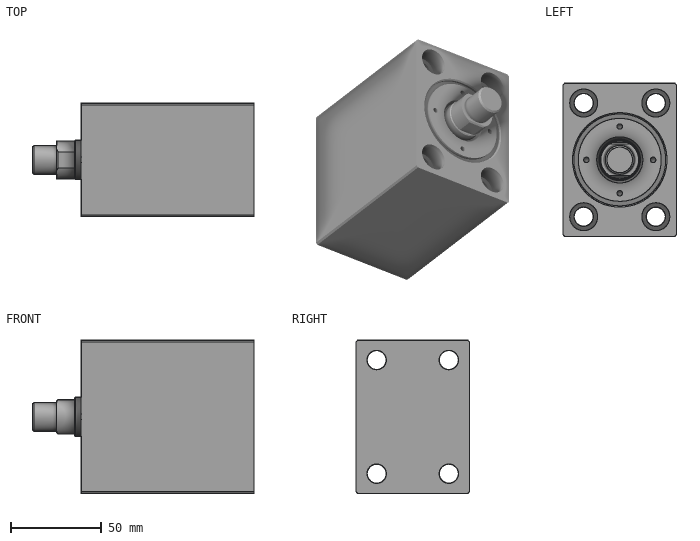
import cadquery as cq
import math

HOUSING_LENGTH = 96.0
HOUSING_WIDTH = 63.0
HOUSING_HEIGHT = 85.0
EDGE_CHAMFER = 1.0

BOLT_SPACING_Y = 40.0
BOLT_SPACING_Z = 63.0
BOLT_DIAMETER = 10.5
COUNTERBORE_DIAMETER = 15.5
COUNTERBORE_DEPTH = 10.5

GLAND_DIAMETER = 51.0
SEAT_CHAMFER = 0.7
GLAND_LENGTH = 15.0
GLAND_BOSS_DIAMETER = 46.0
GLAND_STEP_DEPTH = 1.9

SPANNER_HOLE_COUNT = 4
SPANNER_CIRCLE_RADIUS = 18.5
SPANNER_HOLE_DIAMETER = 3.0
SPANNER_HOLE_DEPTH = 5.0
DRILL_POINT_ANGLE = 118.0

MOUTH_DIAMETER = 25.6
WIPER_DIAMETER = 23.0
MOUTH_DEPTH = 2.0
WIPER_LENGTH = 4.0

ROD_DIAMETER = 22.0
ROD_REACH = 3.5
ROD_CHAMFER = 0.5
COLLAR_DIAMETER = ROD_DIAMETER - 2 * ROD_CHAMFER
COLLAR_LENGTH = 10.0
FLAT_WIDTH = 19.0
FLAT_CHAMFER = 0.8
TIP_DIAMETER = 16.0
TIP_LENGTH = 13.5
TIP_CHAMFER = 0.9

COLLAR_START = -ROD_REACH - COLLAR_LENGTH
TIP_START = COLLAR_START - TIP_LENGTH


def cylinder(diameter, start, length):
    """Cylinder on the X axis from x = start, running toward +X."""
    return cq.Workplane("YZ", origin=(start, 0, 0)).circle(diameter / 2).extrude(length)


def make_housing():
    block = cq.Workplane("XY").box(
        HOUSING_LENGTH, HOUSING_WIDTH, HOUSING_HEIGHT, centered=(False, True, True)
    )
    block = block.edges("|X").chamfer(EDGE_CHAMFER)
    front = cq.Workplane("YZ").rect(BOLT_SPACING_Y, BOLT_SPACING_Z, forConstruction=True).vertices()
    bolt_holes = front.circle(BOLT_DIAMETER / 2).extrude(HOUSING_LENGTH)
    counterbores = front.circle(COUNTERBORE_DIAMETER / 2).extrude(COUNTERBORE_DEPTH)
    gland_seat = cylinder(GLAND_DIAMETER, 0, GLAND_LENGTH)
    housing = block.cut(bolt_holes).cut(counterbores).cut(gland_seat)
    seat_rim = housing.faces("<X").edges(cq.selectors.RadiusNthSelector(-1))
    return seat_rim.chamfer(SEAT_CHAMFER)


def make_spanner_hole():
    """Blind hole with a conical drill point, above the cylinder axis."""
    radius = SPANNER_HOLE_DIAMETER / 2
    point_depth = radius / math.tan(math.radians(DRILL_POINT_ANGLE / 2))
    half_section = [
        (0, 0),
        (0, radius),
        (SPANNER_HOLE_DEPTH, radius),
        (SPANNER_HOLE_DEPTH + point_depth, 0),
    ]
    hole = cq.Workplane("XY").polyline(half_section).close().revolve(360, (0, 0, 0), (1, 0, 0))
    return hole.translate((0, 0, SPANNER_CIRCLE_RADIUS))


def make_gland():
    body = cylinder(GLAND_DIAMETER, GLAND_STEP_DEPTH, GLAND_LENGTH - GLAND_STEP_DEPTH)
    boss = cylinder(GLAND_BOSS_DIAMETER, 0, GLAND_STEP_DEPTH)
    mouth = (
        cq.Workplane("YZ").circle(MOUTH_DIAMETER / 2)
        .workplane(offset=MOUTH_DEPTH).circle(WIPER_DIAMETER / 2).loft()
    )
    wiper_seat = cylinder(WIPER_DIAMETER, MOUTH_DEPTH, WIPER_LENGTH)
    rod_bore = cylinder(ROD_DIAMETER, 0, GLAND_LENGTH)
    gland = body.union(boss).cut(mouth).cut(wiper_seat).cut(rod_bore)
    for index in range(SPANNER_HOLE_COUNT):
        angle = 360.0 / SPANNER_HOLE_COUNT * index
        gland = gland.cut(make_spanner_hole().rotate((0, 0, 0), (1, 0, 0), angle))
    return gland


def make_wiper():
    ring = cylinder(WIPER_DIAMETER, MOUTH_DEPTH, WIPER_LENGTH)
    return ring.cut(cylinder(ROD_DIAMETER, MOUTH_DEPTH, WIPER_LENGTH))


def make_collar():
    disc = cylinder(COLLAR_DIAMETER, COLLAR_START, COLLAR_LENGTH)
    flats = cq.Workplane("XY", origin=(COLLAR_START, 0, 0)).box(
        COLLAR_LENGTH, COLLAR_DIAMETER, FLAT_WIDTH, centered=(False, True, True))
    flats = flats.edges("<X and |Y").chamfer(FLAT_CHAMFER)
    return disc.intersect(flats)


def make_rod():
    shank = cylinder(ROD_DIAMETER, -ROD_REACH, ROD_REACH + GLAND_LENGTH)
    shank = shank.faces("<X").chamfer(ROD_CHAMFER)
    tip = cylinder(TIP_DIAMETER, TIP_START, TIP_LENGTH)
    tip = tip.faces("<X").chamfer(TIP_CHAMFER)
    return shank.union(make_collar()).union(tip)


housing = make_housing()
gland = make_gland()
wiper = make_wiper()
rod = make_rod()

result = cq.Compound.makeCompound([housing.val(), gland.val(), wiper.val(), rod.val()])